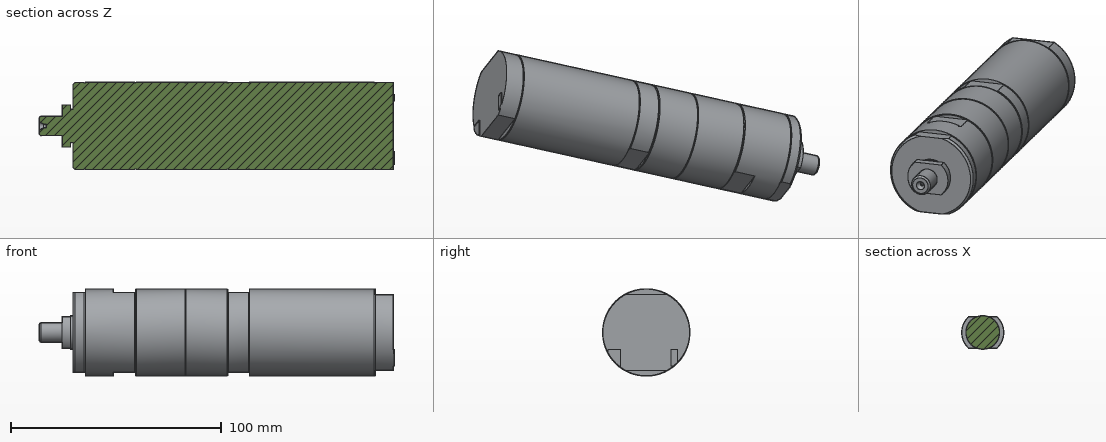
import cadquery as cq

total_length = 168.7
collar_start = 11.0
collar_end = 15.0
body_start = 16.0
body_end = 168.2
front_band_end = 22.0
second_band_start = 35.3
second_band_end = 45.7
section_joint = 69.8
middle_band_start = 89.5
middle_band_end = 99.9
rear_band_start = 159.6

body_diameter = 41.5
shaft_diameter = 9.5
collar_diameter = 20.0
collar_flats = 15.0
neck_diameter = 16.0
wrench_flats = 38.0
rear_flats = 36.0

body_chamfer = 1.0
shaft_chamfer = 0.8

countersink_diameter = 4.0
pilot_diameter = 1.6
countersink_depth = 2.2
pilot_depth = 3.4

groove_width = 0.5
groove_depth = 0.2
vee_half_width = 0.42
vee_depth = 0.3

pad_bottom = -16.0
pad_top = -8.1
pad_sides = [(11.8, 14.8), (-18.2, -12.1)]


def cylinder(start, end, diameter):
    """Cylinder on the X axis between two stations."""
    return cq.Workplane("YZ").workplane(offset=start).circle(diameter / 2).extrude(end - start)


def flat_cutter(start, end, across_flats):
    """Pair of blocks that leave flats facing +Z and -Z."""
    block = cq.Workplane("XY").box(
        end - start, body_diameter, body_diameter, centered=(False, True, False)
    )
    upper = block.translate((start, 0, across_flats / 2))
    return upper.union(upper.mirror("XY"))


def square_groove_cutter(end):
    """Shallow ring that ends at the given station."""
    start = end - groove_width
    outer = cylinder(start, end, body_diameter + 2 * groove_depth)
    inner = cylinder(start, end, body_diameter - 2 * groove_depth)
    return outer.cut(inner)


def vee_groove_cutter(middle):
    """Triangular ring whose deepest point lies at the given station."""
    radius = body_diameter / 2
    triangle = cq.Workplane("XY").polyline([
        (middle - 2 * vee_half_width, radius + vee_depth),
        (middle, radius - vee_depth),
        (middle + 2 * vee_half_width, radius + vee_depth),
    ]).close()
    return triangle.revolve(360, (0, 0, 0), (1, 0, 0))


body = cylinder(body_start, body_end, body_diameter).faces("<X").chamfer(body_chamfer)

for groove_end in (front_band_end, section_joint, middle_band_end, rear_band_start):
    body = body.cut(square_groove_cutter(groove_end))
for groove_middle in (second_band_end, middle_band_start):
    body = body.cut(vee_groove_cutter(groove_middle))

flat_bands = [
    (body_start, front_band_end, wrench_flats),
    (second_band_start, second_band_end, wrench_flats),
    (middle_band_start, middle_band_end, wrench_flats),
    (rear_band_start, body_end, rear_flats),
]
for band_start, band_end, across_flats in flat_bands:
    body = body.cut(flat_cutter(band_start, band_end, across_flats))

shaft = cylinder(0, body_start, shaft_diameter).faces("<X").chamfer(shaft_chamfer)
collar = cylinder(collar_start, collar_end, collar_diameter)
collar = collar.cut(flat_cutter(collar_start, collar_end, collar_flats))
neck = cylinder(collar_end, body_start, neck_diameter)
result = body.union(neck).union(collar).union(shaft)

countersink = (
    cq.Workplane("YZ")
    .circle(countersink_diameter / 2)
    .workplane(offset=countersink_depth)
    .circle(pilot_diameter / 2)
    .loft()
)
result = result.cut(countersink).cut(cylinder(0, pilot_depth, pilot_diameter))

pad_limit = cylinder(body_end, total_length, body_diameter)
for pad_left, pad_right in pad_sides:
    pad = cq.Workplane("XY").box(
        total_length - body_end, pad_right - pad_left, pad_top - pad_bottom, centered=False
    )
    pad = pad.translate((body_end, pad_left, pad_bottom))
    result = result.union(pad.intersect(pad_limit))